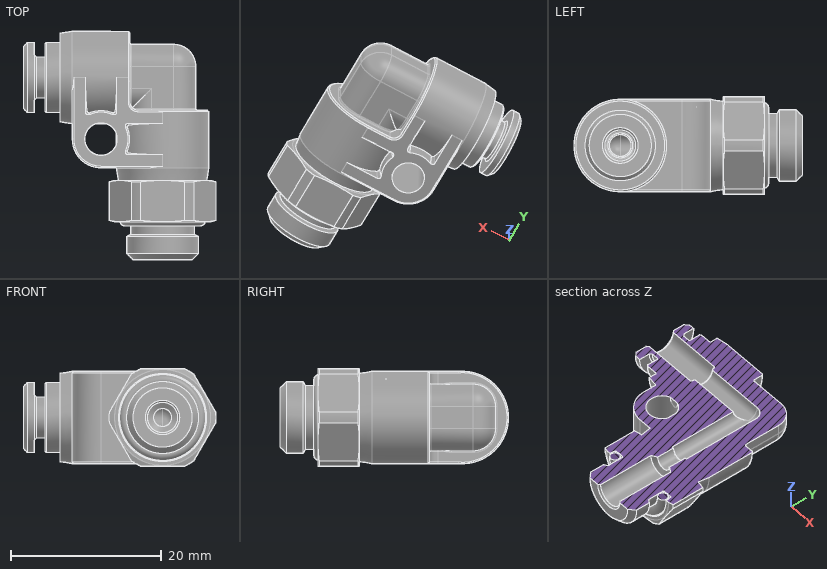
import cadquery as cq
import math


barrel_radius = 6.18
barrel_inner_reach = 4.35
barrel_outer_reach = 12.05
barrel_edge_chamfer = 0.2
cone_end_reach = 13.7
cone_end_radius = 5.92

bend_half_width = 4.45
bend_edge_radius = 3.0
bend_root_radius = 0.2

web_outer_radius = 3.85
web_edge_chamfer = 0.22
web_corner_radius = 1.1
hole_reach = barrel_outer_reach - web_outer_radius
hole_radius = 2.15

pocket_half_width = 2.07
pocket_end_reach = 4.95
pocket_draft = 6.0
boss_radius = 3.6
pocket_corner_radius = 0.3

sleeve_radius = 4.7
collar_end_reach = 15.7
collar_chamfer = 0.2
neck_radius = 2.75
neck_chamfer = 0.28
flange_start_reach = 17.1
flange_end_reach = 18.55
flange_chamfer = 0.55

hex_across_flats = 13.0
hex_corner_radius = 7.13
hex_end_reach = 19.25
hex_face_radius = 6.4
hex_chamfer_length = 0.2

spigot_neck_radius = 4.27
thread_radius = 4.8
thread_start_reach = 20.9
thread_start_chamfer = 0.3
thread_end_reach = 24.3
thread_end_chamfer = 0.85

ring_tube_radius = 0.73
ring_center_radius = spigot_neck_radius + ring_tube_radius
ring_end_reach = 19.8
ring_center_reach = ring_end_reach - ring_tube_radius
groove_floor_reach = ring_center_reach - ring_tube_radius
groove_mouth_radius = 5.87
groove_floor_radius = ring_center_radius + ring_tube_radius

passage_radius = 1.45
inlet_bore_radius = 2.06
inlet_bore_chamfer = 0.32
inlet_bore_depth = 9.0
inlet_floor_fillet = 0.25
passage_chamfer = 0.2
outlet_bore_radius = 2.02
outlet_bore_chamfer = 0.27
outlet_bore_depth = 9.0
throat_radius = 1.2
drill_point_angle = 118.0

tolerance = 0.01


def turned(profile):
    """Revolve (reach, radius) points about the inlet axis."""
    start_reach = profile[0][0]
    end_reach = profile[-1][0]
    outline = [(start_reach, 0), *profile, (end_reach, 0)]
    points = [(-reach, radius) for reach, radius in outline]
    return cq.Workplane("XY").polyline(points).close().revolve(360, (0, 0), (1, 0))


def to_outlet(shape):
    """Swing a shape from the inlet axis to the outlet axis, exchanging X and Y."""
    return shape.rotate((0, 0, 0), (1, 1, 0), 180)


def on_both_arms(shape):
    return shape.union(to_outlet(shape))


def barrel():
    return turned(
        [
            (barrel_inner_reach, barrel_radius - barrel_edge_chamfer),
            (barrel_inner_reach + barrel_edge_chamfer, barrel_radius),
            (barrel_outer_reach, barrel_radius),
            (cone_end_reach, cone_end_radius),
        ]
    )


def bend_arm():
    """Square bar with rounded edges, from the outer corner of the bend into the barrel."""
    width = 2 * bend_half_width
    length = bend_half_width + barrel_inner_reach + barrel_edge_chamfer
    bar = cq.Workplane("XY").box(length, width, width)
    bar = bar.edges("|X or >X").fillet(bend_edge_radius)
    return bar.translate((bend_half_width - length / 2, 0, 0))


def barrel_and_bend_arm():
    """One arm of the elbow, with a small fillet where the bend meets the end face of the barrel."""
    reach = bend_half_width + tolerance
    bend_root = cq.selectors.BoxSelector(
        (-barrel_inner_reach - tolerance, -reach, -reach),
        (-barrel_inner_reach + tolerance, reach, reach),
        boundingbox=True,
    )
    return barrel().union(bend_arm()).edges(bend_root).fillet(bend_root_radius)


def pocket():
    """Drafted pocket in the top of the web, bounded by the wall around the hole."""
    depth = barrel_radius - math.sqrt(barrel_radius**2 - pocket_end_reach**2)
    opening = (
        cq.Workplane("XY", origin=(-hole_reach, 0, barrel_radius))
        .rect(2 * pocket_half_width, 2 * pocket_end_reach)
        .extrude(-depth, taper=pocket_draft)
        .edges("not #Z")
        .fillet(pocket_corner_radius)
    )
    hole_wall = (
        cq.Workplane("XY", origin=(-hole_reach, -hole_reach, barrel_radius))
        .circle(boss_radius)
        .extrude(-depth, taper=-pocket_draft)
    )
    return opening.cut(hole_wall)


def web():
    outline = [
        (-barrel_outer_reach, 0),
        (-barrel_inner_reach, 0),
        (-barrel_inner_reach, -barrel_inner_reach),
        (0, -barrel_inner_reach),
        (0, -barrel_outer_reach),
        (-barrel_outer_reach, -barrel_outer_reach),
    ]
    plate = cq.Workplane("XY").polyline(outline).close().extrude(barrel_radius, both=True)
    outer_corner = cq.NearestToPointSelector((-barrel_outer_reach, -barrel_outer_reach, 0))
    inner_corner = cq.NearestToPointSelector((-barrel_inner_reach, -barrel_inner_reach, 0))
    plate = plate.edges(outer_corner).fillet(web_outer_radius)
    plate = plate.edges(inner_corner).fillet(web_corner_radius)
    plate = plate.faces(">Z or <Z").edges("not(>X or >Y)").chamfer(web_edge_chamfer)
    top_pockets = on_both_arms(pocket())
    plate = plate.cut(top_pockets).cut(top_pockets.mirror("XY"))
    hole = (
        cq.Workplane("XY", origin=(-hole_reach, -hole_reach, 0))
        .circle(hole_radius)
        .extrude(barrel_radius, both=True)
    )
    return plate.cut(hole)


def release_sleeve():
    return turned(
        [
            (barrel_outer_reach, sleeve_radius),
            (collar_end_reach - collar_chamfer, sleeve_radius),
            (collar_end_reach, sleeve_radius - collar_chamfer),
            (collar_end_reach, neck_radius),
            (flange_start_reach - neck_chamfer, neck_radius),
            (flange_start_reach, neck_radius + neck_chamfer),
            (flange_start_reach, sleeve_radius),
            (flange_end_reach - flange_chamfer, sleeve_radius),
            (flange_end_reach, sleeve_radius - flange_chamfer),
        ]
    )


def hexagon():
    """Hexagon with turned corners, chamfered at both ends."""
    prism = (
        cq.Workplane("YZ", origin=(-hex_end_reach, 0, 0))
        .transformed(rotate=(0, 0, 30))
        .polygon(6, hex_across_flats, circumscribed=True)
        .extrude(hex_end_reach - cone_end_reach)
    )
    corner_limit = turned(
        [
            (cone_end_reach, hex_face_radius),
            (cone_end_reach + hex_chamfer_length, hex_corner_radius),
            (hex_end_reach - hex_chamfer_length, hex_corner_radius),
            (hex_end_reach, hex_face_radius),
        ]
    )
    return prism.intersect(corner_limit)


def ring_groove():
    return turned([(groove_floor_reach, groove_floor_radius), (hex_end_reach, groove_mouth_radius)])


def spigot():
    return turned(
        [
            (groove_floor_reach, spigot_neck_radius),
            (thread_start_reach, spigot_neck_radius),
            (thread_start_reach + thread_start_chamfer, thread_radius),
            (thread_end_reach - thread_end_chamfer, thread_radius),
            (thread_end_reach, thread_radius - thread_end_chamfer),
        ]
    )


def passage():
    """Inner passage around the bend, with a spherical corner at the origin."""
    straight = cq.Workplane("YZ").circle(passage_radius).extrude(-barrel_outer_reach)
    return on_both_arms(straight).union(cq.Workplane("XY").sphere(passage_radius))


def inlet_bore():
    """Bore for the tube, with a rounded floor corner and a chamfer into the passage."""
    floor_reach = flange_end_reach - inlet_bore_depth
    mouth_radius = inlet_bore_radius + inlet_bore_chamfer
    straight = turned([(floor_reach, inlet_bore_radius), (flange_end_reach, inlet_bore_radius)])
    straight = straight.faces(">X").edges().fillet(inlet_floor_fillet)
    mouth = turned(
        [(flange_end_reach - inlet_bore_chamfer, inlet_bore_radius), (flange_end_reach, mouth_radius)]
    )
    passage_mouth = turned(
        [
            (floor_reach - passage_chamfer, passage_radius),
            (floor_reach, passage_radius + passage_chamfer),
        ]
    )
    return straight.union(mouth).union(passage_mouth)


def outlet_bore():
    """Drilled bore whose conical end opens into a narrow throat."""
    cone_start_reach = thread_end_reach - outlet_bore_depth
    cone_length = (outlet_bore_radius - throat_radius) / math.tan(math.radians(drill_point_angle / 2))
    throat_start_reach = cone_start_reach - cone_length
    return turned(
        [
            (barrel_outer_reach, throat_radius),
            (throat_start_reach, throat_radius),
            (cone_start_reach, outlet_bore_radius),
            (thread_end_reach - outlet_bore_chamfer, outlet_bore_radius),
            (thread_end_reach, outlet_bore_radius + outlet_bore_chamfer),
        ]
    )


def fitting_body():
    outlet_end = hexagon().cut(ring_groove()).union(spigot())
    return (
        on_both_arms(barrel_and_bend_arm())
        .union(web())
        .union(release_sleeve())
        .union(to_outlet(outlet_end))
        .cut(passage())
        .cut(inlet_bore())
        .cut(to_outlet(outlet_bore()))
    )


def sealing_ring():
    """O-ring resting on the spigot neck and the groove floor."""
    ring = (
        cq.Workplane("XY", origin=(-ring_center_reach, ring_center_radius, 0))
        .circle(ring_tube_radius)
        .revolve(360, (0, -ring_center_radius, 0), (1, -ring_center_radius, 0))
    )
    return to_outlet(ring)


fitting = fitting_body()
o_ring = sealing_ring()

result = cq.Compound.makeCompound([fitting.val(), o_ring.val()])